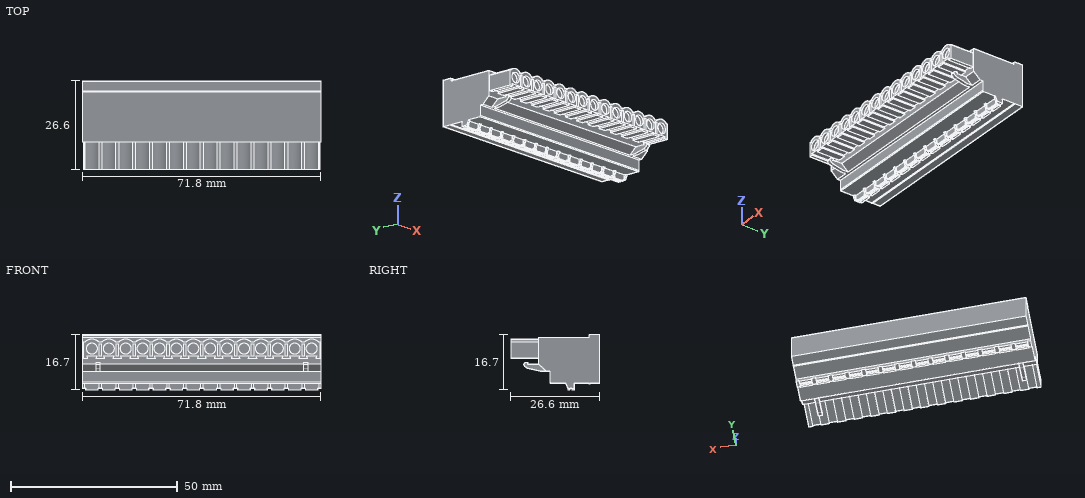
import cadquery as cq
import math

length = 71.75
total_depth = 26.6
total_height = 16.7
pole_count = 14
pole_pitch = 5.08

body_depth = 18.4
lower_depth = 14.9
body_bottom = 2.0
body_top = total_height - 0.85
lip_depth = 3.2
lip_bevel_depth = 0.2
lip_bevel_drop = 0.3
overhang_bottom = 5.7
bevel_top = 7.8
bevel_bottom_depth = 16.0
front_bevel_depth = 0.15
front_bevel_height = 0.35

barrel_radius = 2.9
barrel_axis_z = 12.5
bore_radius = 1.65
bore_depth = 1.0
valley_half_width = 0.465
plug_end_offset = 2.5
slot_width = 0.8
slot_top = 13.85
plug_underside = 10.2
leg_bottom = 9.55
leg_half_width_top = 1.0
leg_half_width_bottom = 1.3

hook_width = 1.3
hook_offset = 31.2
hook_top = bevel_top
hook_nose_top = 8.3
hook_barb_depth = 21.5
hook_nose_depth = 22.0
hook_brow_depth = 22.6
hook_brow_z = 8.1
hook_tip_depth = 22.8
hook_tip_z = 7.7
hook_cheek_depth = 22.3
hook_cheek_z = 6.95
hook_chin_depth = 21.3
hook_chin_z = 6.45
hook_belly_depth = 17.8

foot_rear = 7.5
foot_front = 9.55
foot_width = 3.8
groove_rear = 8.3
groove_front = 9.05
groove_taper = 0.2
web_bottom = 0.5
web_front = 10.2
web_gap = 0.3

ridge_depth = 2.95
ridge_width = 0.3
ridge_height = 0.15

row_half = (pole_count - 1) * pole_pitch / 2
pole_xs = [-row_half + i * pole_pitch for i in range(pole_count)]
gap_xs = [x + pole_pitch / 2 for x in pole_xs[:-1]]
plug_left = pole_xs[0] - plug_end_offset
plug_right = pole_xs[-1] + plug_end_offset


def side_profile(points, x_start, width):
    """Extrude an outline of (depth from the rear, height) points along +X."""
    outline = [(-depth, z) for depth, z in points]
    return cq.Workplane("YZ", origin=(x_start, 0, 0)).polyline(outline).close().extrude(width)


def block(x_start, x_end, rear, front, bottom, top):
    """Rectangular block; rear and front are depths from the rear face."""
    corners = [(rear, bottom), (front, bottom), (front, top), (rear, top)]
    return side_profile(corners, x_start, x_end - x_start)


def make_housing():
    outline = [
        (0, body_bottom),
        (lower_depth - front_bevel_depth, body_bottom),
        (lower_depth, body_bottom + front_bevel_height),
        (lower_depth, overhang_bottom),
        (bevel_bottom_depth, overhang_bottom),
        (body_depth, bevel_top),
        (body_depth, body_top),
        (lip_depth, body_top),
        (lip_depth, total_height - lip_bevel_drop),
        (lip_depth - lip_bevel_depth, total_height),
        (0, total_height),
    ]
    return side_profile(outline, -length / 2, length)


def make_plug_row():
    half_barrel = pole_pitch / 2 - valley_half_width
    valley_z = barrel_axis_z + math.sqrt(barrel_radius**2 - half_barrel**2)
    crown_z = barrel_axis_z + barrel_radius

    front_plane = cq.Workplane("XZ", origin=(0, -body_depth, 0))
    outline = front_plane.moveTo(plug_left, leg_bottom).lineTo(plug_left, valley_z)
    for x in pole_xs:
        outline = outline.lineTo(x - half_barrel, valley_z)
        outline = outline.threePointArc((x, crown_z), (x + half_barrel, valley_z))
    outline = outline.lineTo(plug_right, valley_z).lineTo(plug_right, leg_bottom)

    recess_half_top = pole_pitch / 2 - leg_half_width_top
    recess_half_bottom = pole_pitch / 2 - leg_half_width_bottom
    for x in reversed(pole_xs):
        outline = outline.lineTo(x + recess_half_bottom, leg_bottom)
        outline = outline.lineTo(x + recess_half_top, plug_underside)
        outline = outline.lineTo(x - recess_half_top, plug_underside)
        outline = outline.lineTo(x - recess_half_bottom, leg_bottom)
    plug = outline.close().extrude(total_depth - body_depth)

    bores = (
        cq.Workplane("XZ", origin=(0, -total_depth, 0))
        .pushPoints([(x, barrel_axis_z) for x in pole_xs])
        .circle(bore_radius)
        .extrude(-bore_depth)
    )
    plug = plug.cut(bores)
    for x in gap_xs:
        left = x - slot_width / 2
        plug = plug.cut(block(left, left + slot_width, body_depth, total_depth, plug_underside, slot_top))
    return plug


def make_hook(x):
    """Latch hook growing out of the bevelled overhang, with a rounded nose."""
    return (
        cq.Workplane("YZ", origin=(x - hook_width / 2, 0, 0))
        .moveTo(-lower_depth, overhang_bottom)
        .lineTo(-hook_belly_depth, overhang_bottom)
        .lineTo(-hook_chin_depth, hook_chin_z)
        .threePointArc((-hook_cheek_depth, hook_cheek_z), (-hook_tip_depth, hook_tip_z))
        .threePointArc((-hook_brow_depth, hook_brow_z), (-hook_nose_depth, hook_nose_top))
        .lineTo(-hook_barb_depth, hook_nose_top)
        .lineTo(-hook_barb_depth, hook_top)
        .lineTo(-lower_depth, hook_top)
        .close()
        .extrude(hook_width)
    )


def make_feet():
    """Cross rib with one grooved foot per pole and a sloped web beside each foot."""
    rib = block(-length / 2, length / 2, foot_rear, foot_front, web_bottom, body_bottom)

    web = [
        (foot_rear, web_bottom),
        (foot_front, web_bottom),
        (web_front, body_bottom),
        (foot_rear, body_bottom),
    ]
    web_reach = foot_width / 2 + web_gap
    web_starts = [-length / 2] + [x + web_reach for x in pole_xs]
    web_ends = [x - web_reach for x in pole_xs] + [length / 2]
    for start, end in zip(web_starts, web_ends):
        rib = rib.union(side_profile(web, start, end - start))

    foot = [
        (foot_rear, 0),
        (groove_rear, 0),
        (groove_rear, web_bottom),
        (groove_front - groove_taper, web_bottom),
        (groove_front, 0),
        (foot_front, 0),
        (foot_front, body_bottom),
        (foot_rear, body_bottom),
    ]
    for x in pole_xs:
        rib = rib.union(side_profile(foot, x - foot_width / 2, foot_width))
    return rib


def make_ridge():
    front = ridge_depth + ridge_width
    return block(-length / 2, length / 2, ridge_depth, front, body_bottom - ridge_height, body_bottom)


result = make_housing().union(make_plug_row()).union(make_feet()).union(make_ridge())
for side in (-1, 1):
    result = result.union(make_hook(side * hook_offset))